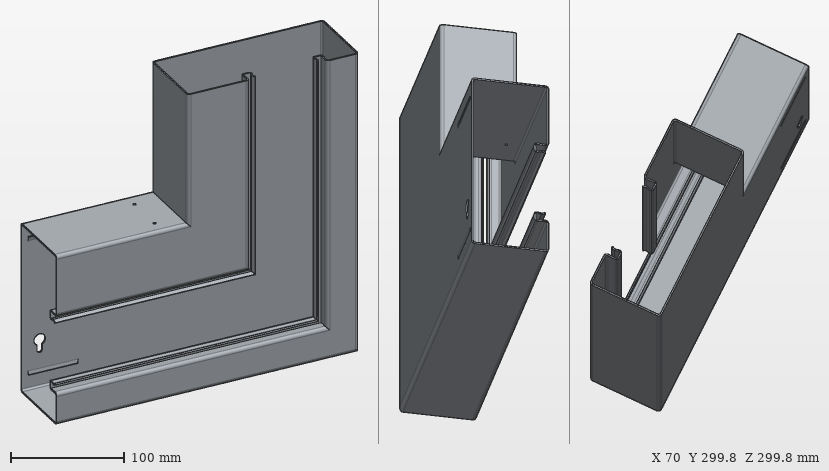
import cadquery as cq
import math

length = 299.8
depth = 70.0
arm_width = 170.0
wall = 1.5
bend_radius = 3.3

opening_start = 32.0
opening_end = 108.5

lip_depth = 13.2
lip_drop = 0.5
lip_rise = 8.5
lip_bend = 2.7
flange_lap = 6.0
throat_depth = 6.5
throat_rise = 7.0
flare_radius = 4.0
flare_angle = math.radians(45)

keyhole_y = 18.0
keyhole_z = 48.5
keyhole_radius = 5.7
keyhole_slot_width = 5.0
keyhole_slot_end = 35.7

tab_centre_y = 31.2
tab_hinge_length = 50.0
tab_free_length = 48.5
tab_height = 4.0
tab_inset = 1.0
tab_hinges = ((150.8, 1), (19.8, -1))

hole_diameter = 2.5
hole_spacing = 39.0
hole_y = 105.0


def tube():
    """Rectangular duct with rounded bends and the gap that the lips fill in part."""
    outer = cq.Workplane("XY").box(depth, length, arm_width, centered=False)
    outer = outer.edges("|Y").fillet(bend_radius)
    inner = (
        cq.Workplane("XY")
        .box(depth - 2 * wall, length, arm_width - 2 * wall, centered=False)
        .edges("|Y").fillet(bend_radius - wall)
        .translate((wall, 0, wall))
    )
    opening_height = opening_end - opening_start + 2 * flange_lap
    opening = (
        cq.Workplane("XY")
        .box(wall, length, opening_height, centered=False)
        .translate((depth - wall, 0, opening_start - flange_lap))
    )
    return outer.cut(inner).cut(opening)


def lip(edge_z, direction):
    """Channel-shaped lip at one flange edge; direction points into the opening along Z."""

    def at(inset, rise):
        return (depth - inset, edge_z + direction * rise)

    def on_flare(radius, angle):
        return at(
            throat_depth - radius * math.sin(angle),
            throat_rise + flare_radius - radius * math.cos(angle),
        )

    def on_flange_bend(radius, angle):
        return at(
            bend_radius - radius * math.sin(angle),
            -bend_radius + radius * math.cos(angle),
        )

    flare_inner = flare_radius + wall
    bend_inner = bend_radius - wall
    quarter = math.pi / 2
    sketch = (
        cq.Workplane("XZ")
        .moveTo(*on_flange_bend(bend_radius, 0))
        .lineTo(*at(lip_depth - wall, -lip_drop))
        .lineTo(*at(lip_depth - wall, lip_rise - wall))
        .lineTo(*on_flare(flare_inner, 0))
        .threePointArc(on_flare(flare_inner, flare_angle / 2), on_flare(flare_inner, flare_angle))
        .lineTo(*on_flare(flare_radius, flare_angle))
        .threePointArc(on_flare(flare_radius, flare_angle / 2), on_flare(flare_radius, 0))
        .lineTo(*at(lip_depth, lip_rise))
        .lineTo(*at(lip_depth, -lip_drop - wall))
        .lineTo(*on_flange_bend(bend_inner, 0))
        .threePointArc(
            on_flange_bend(bend_inner, quarter / 2), on_flange_bend(bend_inner, quarter)
        )
        .lineTo(*at(wall, -flange_lap))
        .lineTo(*at(0, -flange_lap))
        .lineTo(*on_flange_bend(bend_radius, quarter))
        .threePointArc(
            on_flange_bend(bend_radius, quarter / 2), on_flange_bend(bend_radius, 0)
        )
        .close()
    )
    back_bends = sketch.extrude(-length).faces("<X").edges("|Y")
    return back_bends.fillet(lip_bend)


def arm():
    """Straight arm along Y, mitred at 45 degrees where it meets the other arm."""
    body = tube()
    for edge_z, direction in ((opening_start, 1), (opening_end, -1)):
        body = body.union(lip(edge_z, direction))
    mitre = (
        cq.Workplane("YZ")
        .polyline([(0, 0), (length, 0), (0, length)])
        .close()
        .extrude(depth)
    )
    return body.intersect(mitre)


def keyhole():
    slot_radius = keyhole_slot_width / 2
    slot_length = keyhole_z - keyhole_slot_end - slot_radius
    through = 2 * wall
    head = cq.Workplane("YZ").center(keyhole_y, keyhole_z).circle(keyhole_radius).extrude(through)
    neck = (
        cq.Workplane("YZ")
        .center(keyhole_y, keyhole_z - slot_length / 2)
        .slot2D(slot_length + keyhole_slot_width, keyhole_slot_width, 90)
        .extrude(through)
    )
    return head.union(neck)


def tab_prism(hinge_z, direction, free_edge_shift):
    """Tapered plate, one sheet thick, with its free edge shifted along X."""
    free_z = hinge_z + direction * tab_height
    taper = (
        cq.Workplane("YZ")
        .polyline(
            [
                (tab_centre_y - tab_hinge_length / 2, hinge_z),
                (tab_centre_y + tab_hinge_length / 2, hinge_z),
                (tab_centre_y + tab_free_length / 2, free_z),
                (tab_centre_y - tab_free_length / 2, free_z),
            ]
        )
        .close()
        .extrude(wall + free_edge_shift)
    )
    slope = (
        cq.Workplane("XZ")
        .polyline(
            [
                (0, hinge_z),
                (wall, hinge_z),
                (wall + free_edge_shift, free_z),
                (free_edge_shift, free_z),
            ]
        )
        .close()
        .extrude(-length)
    )
    return taper.intersect(slope)


def screw_holes():
    return (
        cq.Workplane("XY", origin=(depth / 2, hole_y, arm_width - 2 * wall))
        .rarray(hole_spacing, 3, 2, 1)
        .circle(hole_diameter / 2)
        .extrude(3 * wall)
    )


horizontal_arm = arm()
vertical_arm = horizontal_arm.mirror(
    cq.Vector(0, 1, 1), (0, length / 2, length / 2)
)

elbow = horizontal_arm.union(vertical_arm)
elbow = elbow.cut(keyhole()).cut(screw_holes())
for hinge_z, direction in tab_hinges:
    window = tab_prism(hinge_z, direction, 0)
    tab = tab_prism(hinge_z, direction, tab_inset)
    elbow = elbow.cut(window).union(tab)

result = elbow